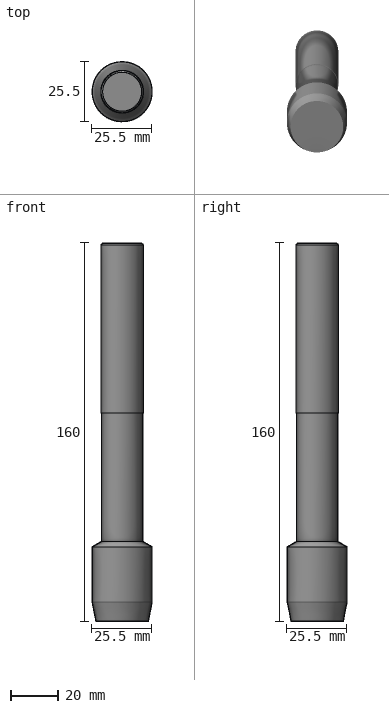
import cadquery as cq

total_length = 160.0
tip_length = 8.2
body_top = 31.5
head_length = 33.8
shank_start = 88.2

tip_diameter = 22.2
head_diameter = 25.5
neck_diameter = 17.6
shank_diameter = 18.0
end_chamfer = 0.8


def make_head():
    """Turned head: tapered tip, cylindrical body and a cone down to the neck."""
    outline = [
        (0, 0),
        (tip_diameter / 2, 0),
        (head_diameter / 2, tip_length),
        (head_diameter / 2, body_top),
        (neck_diameter / 2, head_length),
        (0, head_length),
    ]
    return cq.Workplane("XZ").polyline(outline).close().revolve(360, (0, 0), (0, 1))


def make_shank():
    """Shank with a slightly thinner neck standing on the head and a chamfered free end."""
    neck = cq.Workplane("XY").workplane(offset=head_length).circle(neck_diameter / 2)
    neck = neck.extrude(shank_start - head_length)
    grip = cq.Workplane("XY").workplane(offset=shank_start).circle(shank_diameter / 2)
    grip = grip.extrude(total_length - shank_start).faces(">Z").chamfer(end_chamfer)
    return neck.union(grip)


head = make_head()
shank = make_shank()

result = cq.Compound.makeCompound([head.val(), shank.val()])